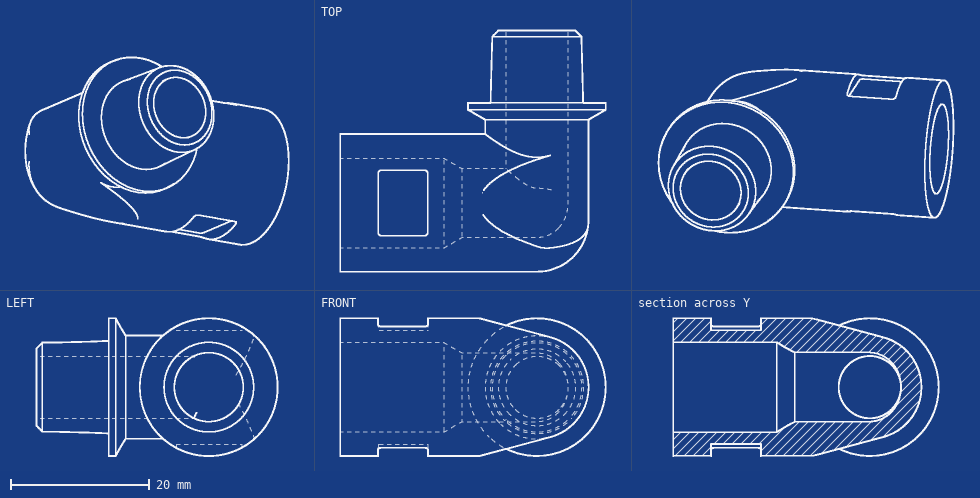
import cadquery as cq
import math


body_radius = 10.0
body_start = -28.5

neck_radius = 7.5
flange_radius = 10.0
flange_cone_angle = 30.0
flange_start = 13.5
flange_end = 14.5
spigot_end = 25.0
spigot_root_radius = 6.73
spigot_tip_radius = 6.48
spigot_chamfer = 0.9

slope_angle = 15.0

cutter_margin = 1.0

pocket_length = 7.2
pocket_width = 9.5
pocket_centre = -19.4
pocket_floor = 8.25
pocket_corner_radius = 0.5

socket_radius = 6.5
socket_depth = 15.0
socket_cone_angle = 30.0
body_bore_radius = 5.0
spigot_bore_radius = 4.5


def nose_envelope():
    """Prism along Y whose sloping faces end where they run tangent onto the neck."""
    slope = math.radians(slope_angle)
    tangent_x = neck_radius * math.sin(slope)
    tangent_z = neck_radius * math.cos(slope)
    half_height = body_radius + cutter_margin
    shoulder_x = tangent_x - (half_height - tangent_z) / math.tan(slope)
    back_x = body_start - cutter_margin
    return (
        cq.Workplane("XZ")
        .moveTo(back_x, -half_height)
        .lineTo(shoulder_x, -half_height)
        .lineTo(tangent_x, -tangent_z)
        .lineTo(tangent_x, tangent_z)
        .lineTo(shoulder_x, half_height)
        .lineTo(back_x, half_height)
        .close()
        .extrude(half_height, both=True)
    )


def make_elbow_rounding():
    """Half-ring cutter that trims the neck to the body, on the side facing away from the
    spigot, and rounds the body's end edge there."""
    round_radius = neck_radius
    arc_centre_radius = body_radius - round_radius
    arc_offset = round_radius * math.sqrt(0.5)
    outer_radius = math.hypot(body_radius, neck_radius) + cutter_margin
    outer_x = neck_radius + cutter_margin
    section = (
        cq.Workplane("XZ")
        .moveTo(0, body_radius)
        .threePointArc((arc_offset, arc_centre_radius + arc_offset), (round_radius, arc_centre_radius))
        .lineTo(outer_x, arc_centre_radius)
        .lineTo(outer_x, outer_radius)
        .lineTo(-outer_x, outer_radius)
        .lineTo(-outer_x, body_radius)
        .close()
    )
    return section.revolve(180, (0, 0, 0), (1, 0, 0))


def make_body():
    """Round body, tapered by the sloping faces and ending where they meet the neck."""
    rod = (
        cq.Workplane("YZ")
        .workplane(offset=body_start)
        .circle(body_radius)
        .extrude(neck_radius - body_start)
    )
    return rod.intersect(nose_envelope())


def make_spigot():
    """Neck, flange and tapered spigot turned about the Y axis; the neck crosses the body."""
    cone_length = (flange_radius - neck_radius) * math.tan(math.radians(flange_cone_angle))
    cone_start = flange_start - cone_length
    half_profile = [
        (0, -body_radius),
        (neck_radius, -body_radius),
        (neck_radius, cone_start),
        (flange_radius, flange_start),
        (flange_radius, flange_end),
        (spigot_root_radius, flange_end),
        (spigot_tip_radius, spigot_end - spigot_chamfer),
        (spigot_tip_radius - spigot_chamfer, spigot_end),
        (0, spigot_end),
    ]
    return cq.Workplane("XY").polyline(half_profile).close().revolve(360, (0, 0, 0), (0, 1, 0))


def make_pocket(side):
    """Cutter for the wrench pocket above (side = 1) or below (side = -1) the body."""
    return (
        cq.Workplane("XY")
        .workplane(offset=side * pocket_floor)
        .center(pocket_centre, 0)
        .rect(pocket_length, pocket_width)
        .extrude(side * (body_radius - pocket_floor))
        .edges("|Z")
        .fillet(pocket_corner_radius)
    )


def make_socket():
    """Cutter for the socket, with a conical bottom that narrows to the body bore."""
    cone_length = (socket_radius - body_bore_radius) / math.tan(math.radians(socket_cone_angle))
    socket_bottom = body_start + socket_depth
    cone_end = socket_bottom + cone_length
    half_profile = [
        (body_start, 0),
        (body_start, socket_radius),
        (socket_bottom, socket_radius),
        (cone_end, body_bore_radius),
        (cone_end, 0),
    ]
    return cq.Workplane("XY").polyline(half_profile).close().revolve(360, (0, 0, 0), (1, 0, 0))


def make_body_bore():
    """Cutter along X up to the origin, closed by a half-ellipsoid that meets the spigot bore."""
    half_profile = (
        cq.Workplane("XY")
        .moveTo(spigot_bore_radius, 0)
        .ellipseArc(spigot_bore_radius, body_bore_radius, 0, 90)
        .lineTo(body_start, body_bore_radius)
        .lineTo(body_start, 0)
        .close()
    )
    return half_profile.revolve(360, (0, 0, 0), (1, 0, 0))


def make_spigot_bore():
    return cq.Workplane("XZ").circle(spigot_bore_radius).extrude(-spigot_end)


result = make_body().union(make_spigot()).cut(make_elbow_rounding())
for side in (1, -1):
    result = result.cut(make_pocket(side))
result = result.cut(make_socket())
result = result.cut(make_body_bore())
result = result.cut(make_spigot_bore())